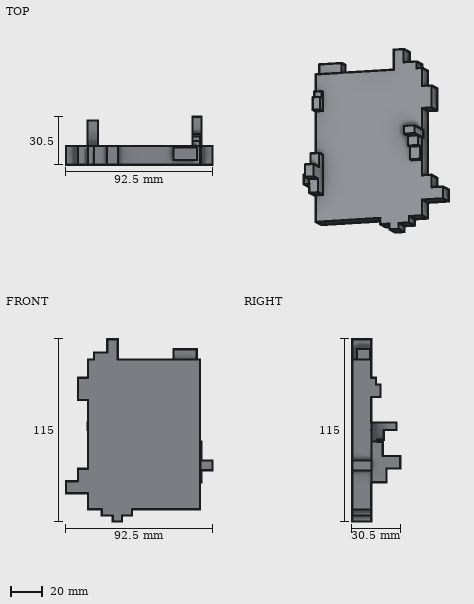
import cadquery as cq

plate_width = 70.7
plate_height = 94.5
plate_depth = 12.1

upper_tab_reach = 6.2
upper_tab_bottom = 68.8
upper_tab_top = 82.9
lower_tab_reach = 13.8
lower_tab_bottom = 10.1
lower_tab_step = 17.7
lower_tab_top = 25.6
top_step_left = 3.8
top_post_left = 12.2
top_post_right = 18.9
top_step_rise = 4.4
top_post_rise = 12.8
foot_left = 8.7
foot_tip_left = 15.6
foot_tip_right = 21.6
foot_right = 27.8
foot_drop = 4.0
foot_tip_drop = 7.7

block_left = 53.8
block_right = 68.7
block_front = 3.1
block_back = 11.2
block_rise = 6.4

catch_left = 65.9
catch_bottom = 70.7
catch_step = 78.8
catch_ledge_back = 15.1
catch_back = 18.0

bar_overhang = 0.3
bracket_right = 6.5
bar_front = 10.0
bar_back = 28.1
bar_bottom = 49.9
bar_top = 54.9
web_back = 20.0
web_step = 43.7
web_foot_back = 15.9
web_bottom = 35.7

slider_right = 71.8
slider_bottom = 17.0
slider_top = 42.7
arm_bottom = 25.6
arm_top = 33.7
arm_back = 30.5
slider_lower_back = 21.7
slider_upper_back = 19.4
side_tab_gap = 0.3
side_tab_left = plate_width + side_tab_gap
side_tab_right = 78.7
side_tab_bottom = 24.6
side_tab_top = 30.8


def box(x_range, y_range, z_range):
    """Box spanning the given (low, high) ranges."""
    ranges = (x_range, y_range, z_range)
    sizes = [high - low for low, high in ranges]
    corner = tuple(low for low, high in ranges)
    return cq.Workplane("XY").box(*sizes, centered=False).translate(corner)


def side_profile(points, left, right):
    """Extrude a closed (y, z) outline along X from left to right."""
    return cq.Workplane("YZ", origin=(left, 0, 0)).polyline(points).close().extrude(right - left)


def make_bar():
    return box((-bar_overhang, bracket_right), (bar_front, bar_back), (bar_bottom, bar_top))


def make_plate():
    outline = [
        (0, 0),
        (foot_left, 0),
        (foot_left, -foot_drop),
        (foot_tip_left, -foot_drop),
        (foot_tip_left, -foot_tip_drop),
        (foot_tip_right, -foot_tip_drop),
        (foot_tip_right, -foot_drop),
        (foot_right, -foot_drop),
        (foot_right, 0),
        (plate_width, 0),
        (plate_width, plate_height),
        (top_post_right, plate_height),
        (top_post_right, plate_height + top_post_rise),
        (top_post_left, plate_height + top_post_rise),
        (top_post_left, plate_height + top_step_rise),
        (top_step_left, plate_height + top_step_rise),
        (top_step_left, plate_height),
        (0, plate_height),
        (0, upper_tab_top),
        (-upper_tab_reach, upper_tab_top),
        (-upper_tab_reach, upper_tab_bottom),
        (0, upper_tab_bottom),
        (0, lower_tab_top),
        (-upper_tab_reach, lower_tab_top),
        (-upper_tab_reach, lower_tab_step),
        (-lower_tab_reach, lower_tab_step),
        (-lower_tab_reach, lower_tab_bottom),
        (0, lower_tab_bottom),
    ]
    slab = cq.Workplane("XZ").polyline(outline).close().extrude(-plate_depth)

    block = box(
        (block_left, block_right),
        (block_front, block_back),
        (plate_height, plate_height + block_rise),
    )
    catch = side_profile(
        [
            (plate_depth, catch_bottom),
            (catch_back, catch_bottom),
            (catch_back, catch_step),
            (catch_ledge_back, catch_step),
            (catch_ledge_back, upper_tab_top),
            (plate_depth, upper_tab_top),
        ],
        catch_left,
        plate_width,
    )
    return slab.union(block).union(catch).cut(make_bar())


def make_bracket():
    web = side_profile(
        [
            (plate_depth, web_bottom),
            (web_foot_back, web_bottom),
            (web_foot_back, web_step),
            (web_back, web_step),
            (web_back, bar_bottom),
            (plate_depth, bar_bottom),
        ],
        0,
        bracket_right,
    )
    return make_bar().union(web)


def make_slider():
    body = side_profile(
        [
            (plate_depth, slider_bottom),
            (slider_lower_back, slider_bottom),
            (slider_lower_back, arm_bottom),
            (arm_back, arm_bottom),
            (arm_back, arm_top),
            (slider_upper_back, arm_top),
            (slider_upper_back, slider_top),
            (plate_depth, slider_top),
        ],
        catch_left,
        slider_right,
    )
    side_tab = box(
        (side_tab_left, side_tab_right),
        (0, plate_depth),
        (side_tab_bottom, side_tab_top),
    )
    return body.union(side_tab)


plate = make_plate()
bracket = make_bracket()
slider = make_slider()

result = cq.Compound.makeCompound([plate.val(), bracket.val(), slider.val()])